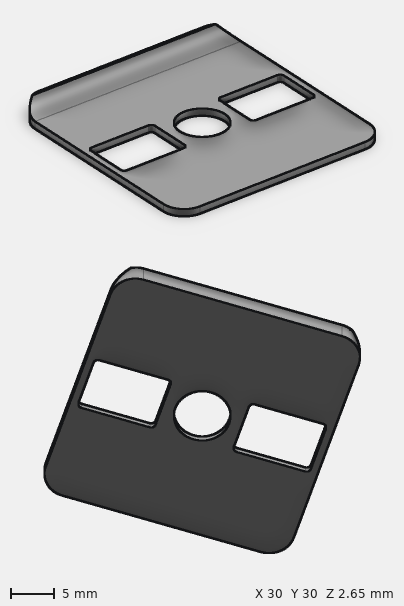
import cadquery as cq
import math

side = 30.0
plate_thickness = 1.0
corner_radius = 3.0

total_height = 2.65
sweep_radius = 3.0
lip_rise = total_height - plate_thickness
sweep_angle = math.acos(1 - lip_rise / sweep_radius)

hole_diameter = 6.5
window_width = 6.6
window_length = 9.3
window_corner_radius = 0.5
window_offset = 9.4


def lipped_profile():
    """Side profile in XZ, extruded across the full width in Y."""
    left = -side / 2
    sweep_end = left + sweep_radius

    def sweep_point(angle):
        """Point on the concave arc, at an angle measured from its lowest point."""
        return (
            sweep_end - sweep_radius * math.sin(angle),
            plate_thickness + sweep_radius * (1 - math.cos(angle)),
        )

    return (
        cq.Workplane("XZ")
        .moveTo(left, 0)
        .lineTo(side / 2, 0)
        .lineTo(side / 2, plate_thickness)
        .lineTo(sweep_end, plate_thickness)
        .threePointArc(sweep_point(sweep_angle / 2), sweep_point(sweep_angle))
        .lineTo(left, total_height)
        .close()
        .extrude(side / 2, both=True)
    )


def windows():
    """Two rounded rectangular cutters, one on each side of the hole."""
    return (
        cq.Workplane("XY")
        .pushPoints([(0, -window_offset), (0, window_offset)])
        .rect(window_width, window_length)
        .extrude(total_height)
        .edges("|Z")
        .fillet(window_corner_radius)
    )


def rounded_block():
    """Full-height square block with rounded corners."""
    return cq.Workplane("XY").rect(side, side).extrude(total_height).edges("|Z").fillet(corner_radius)


hole = cq.Workplane("XY").circle(hole_diameter / 2).extrude(total_height)

result = rounded_block().cut(hole).cut(windows()).intersect(lipped_profile())